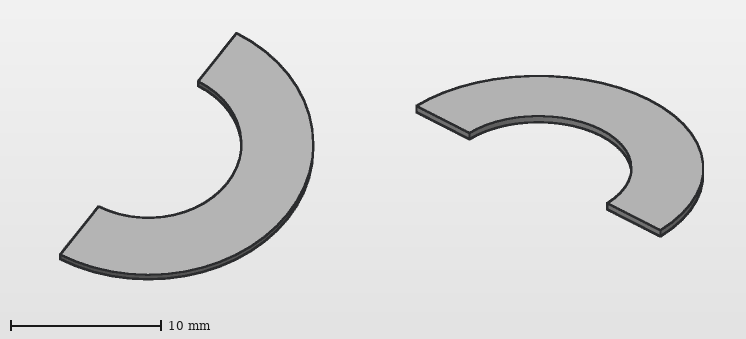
import cadquery as cq

outer_radius = 11.0
inner_radius = 6.2
thickness = 0.5

result = (
    cq.Workplane("XY")
    .moveTo(0, -outer_radius)
    .threePointArc((outer_radius, 0), (0, outer_radius))
    .lineTo(0, inner_radius)
    .threePointArc((inner_radius, 0), (0, -inner_radius))
    .close()
    .extrude(thickness)
)